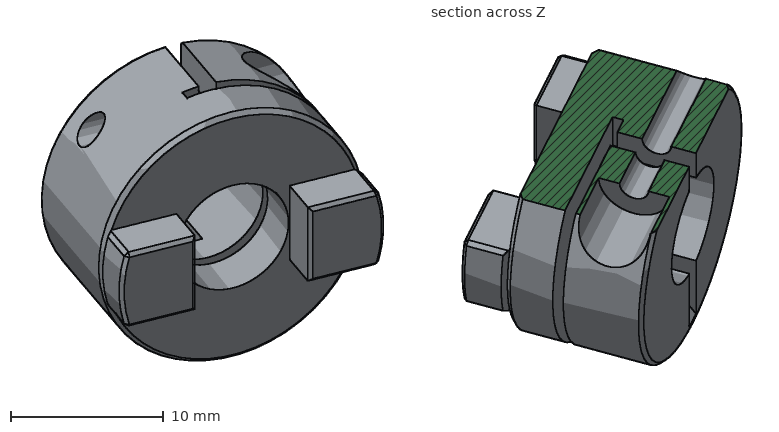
import cadquery as cq
import math

hub_diameter = 19.05
hub_radius = hub_diameter / 2
hub_length = 9.53
bore_diameter = 8.0
front_chamfer = 0.27
back_chamfer = 0.32

overall_length = 12.65
lug_length = overall_length - hub_length
lug_height = 5.74
lug_inner_y = 4.07
lug_chamfer = 0.255
lug_root_chamfer = back_chamfer

slit_start_x = 5.51
slit_width = 0.74
slit_floor_y = -1.8

saw_width = 1.25
saw_radius = 23.5
saw_first_point = (0.0, -9.0)
saw_second_point = (3.35, -3.95)

screw_x = 2.75
screw_z = 6.25
screw_hole_diameter = 2.0
counterbore_diameter = 4.9
counterbore_floor_y = 3.66


def make_hub():
    """Ring with both outer edges chamfered, revolved about X."""
    bore_radius = bore_diameter / 2
    return (
        cq.Workplane("XZ")
        .moveTo(0, bore_radius)
        .lineTo(0, hub_radius - front_chamfer)
        .lineTo(front_chamfer, hub_radius)
        .lineTo(hub_length - back_chamfer, hub_radius)
        .lineTo(hub_length, hub_radius - back_chamfer)
        .lineTo(hub_length, bore_radius)
        .close()
        .revolve(360, (0, 0, 0), (1, 0, 0))
    )


def make_lug():
    """Drive lug on the +Y side: flat inside, round outside, with chamfered edges."""
    half_height = lug_height / 2
    corner_y = math.sqrt(hub_radius**2 - half_height**2)
    lug = (
        cq.Workplane("YZ", origin=(hub_length, 0, 0))
        .moveTo(lug_inner_y, -half_height)
        .lineTo(corner_y, -half_height)
        .threePointArc((hub_radius, 0), (corner_y, half_height))
        .lineTo(lug_inner_y, half_height)
        .close()
        .extrude(lug_length)
        .edges("(|X and (not <Y)) or >X")
        .chamfer(lug_chamfer)
    )
    return lug.cut(make_root_relief())


def make_root_relief():
    """Tapered ring that bevels the round side of a lug next to the hub."""
    return (
        cq.Workplane("XZ")
        .moveTo(hub_length, hub_radius - lug_root_chamfer)
        .lineTo(hub_length + lug_root_chamfer, hub_radius)
        .lineTo(hub_length + lug_root_chamfer, hub_diameter)
        .lineTo(hub_length, hub_diameter)
        .close()
        .revolve(360, (0, 0, 0), (1, 0, 0))
    )


def make_slit():
    """Straight slit across the hub, open to the +Y side."""
    slit_depth = hub_radius - slit_floor_y
    return (
        cq.Workplane("XY", origin=(slit_start_x, slit_floor_y, 0))
        .rect(slit_width, slit_depth, centered=False)
        .extrude(hub_radius, both=True)
    )


def make_saw_cut():
    """Disc of the saw blade, its rim passing through saw_first_point and saw_second_point (X, Z)."""
    x1, z1 = saw_first_point
    x2, z2 = saw_second_point
    chord = math.hypot(x2 - x1, z2 - z1)
    rise = math.sqrt(saw_radius**2 - (chord / 2) ** 2)
    center_x = (x1 + x2) / 2 - rise * (z2 - z1) / chord
    center_z = (z1 + z2) / 2 + rise * (x2 - x1) / chord
    return (
        cq.Workplane("XZ")
        .center(center_x, center_z)
        .circle(saw_radius)
        .extrude(saw_width / 2, both=True)
    )


def make_screw_hole():
    """Through hole along Y with a counterbore for the screw head on the +Y side."""
    hole = (
        cq.Workplane("XZ")
        .center(screw_x, screw_z)
        .circle(screw_hole_diameter / 2)
        .extrude(hub_radius, both=True)
    )
    counterbore = (
        cq.Workplane("XZ", origin=(0, hub_radius, 0))
        .center(screw_x, screw_z)
        .circle(counterbore_diameter / 2)
        .extrude(hub_radius - counterbore_floor_y)
    )
    return hole.union(counterbore)


lug = make_lug()
result = make_hub().union(lug).union(lug.mirror("XZ"))
for cut in (make_slit(), make_saw_cut(), make_screw_hole()):
    result = result.cut(cut)